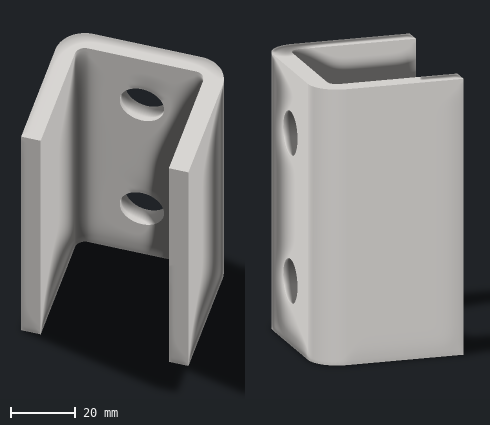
import cadquery as cq

width = 54.0
depth = 47.65
height = 88.9
thickness = 6.3
inner_bend_radius = 3.2
hole_diameter = 14.3
hole_spacing = 47.65

outer_bend_radius = inner_bend_radius + thickness
inner_width = width - 2 * thickness
inner_depth = depth - thickness


def rounded_block(block_width, block_depth, bend_radius):
    """Upright block starting at the flange tips, with its two back edges rounded."""
    block = cq.Workplane("XY").box(block_width, block_depth, height, centered=(True, False, True))
    return block.edges("|Z and >Y").fillet(bend_radius)


outer_block = rounded_block(width, depth, outer_bend_radius)
channel_space = rounded_block(inner_width, inner_depth, inner_bend_radius)
channel = outer_block.cut(channel_space)

bolt_holes = (
    cq.Workplane("XZ", origin=(0, depth, 0))
    .pushPoints([(0, -hole_spacing / 2), (0, hole_spacing / 2)])
    .circle(hole_diameter / 2)
    .extrude(depth)
)

result = channel.cut(bolt_holes)